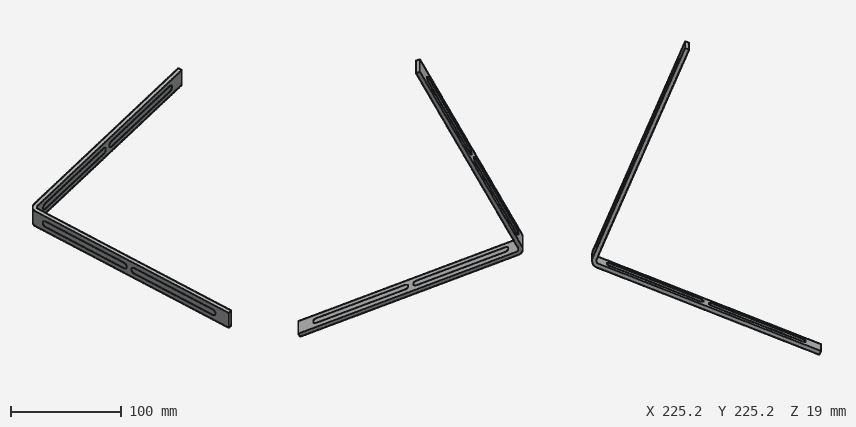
import cadquery as cq
import math

leg_length = 225.0
bar_width = 19.0
thickness = 4.0
outer_bend_radius = 7.0
inner_bend_radius = outer_bend_radius - thickness

pad_length = 95.0
pad_width = 7.0
pad_gap = 5.0
pad_count = 2
pad_height = 0.2

pad_pitch = pad_length + pad_gap
first_pad_center = (leg_length - (pad_count - 1) * pad_pitch) / 2
pad_centers = [(first_pad_center + i * pad_pitch, 0) for i in range(pad_count)]
pad_thickness = thickness + 2 * pad_height


def bent_bar():
    """L-shaped strip with concentric inner and outer bend radii."""
    bend_center = outer_bend_radius
    outer_mid = bend_center - outer_bend_radius * math.sqrt(0.5)
    inner_mid = bend_center - inner_bend_radius * math.sqrt(0.5)
    return (
        cq.Workplane("XY")
        .moveTo(leg_length, 0)
        .lineTo(leg_length, thickness)
        .lineTo(bend_center, thickness)
        .threePointArc((inner_mid, inner_mid), (thickness, bend_center))
        .lineTo(thickness, leg_length)
        .lineTo(0, leg_length)
        .lineTo(0, bend_center)
        .threePointArc((outer_mid, outer_mid), (bend_center, 0))
        .close()
        .extrude(bar_width)
    )


def leg_pads(plane, origin, extrude_distance):
    """Pads of one leg, passing through the bar at mid width."""
    return (
        cq.Workplane(plane, origin=origin)
        .pushPoints(pad_centers)
        .slot2D(pad_length, pad_width)
        .extrude(extrude_distance)
    )


mid_width = bar_width / 2
x_leg_pads = leg_pads("XZ", (0, -pad_height, mid_width), -pad_thickness)
y_leg_pads = leg_pads("YZ", (-pad_height, 0, mid_width), pad_thickness)

result = bent_bar().union(x_leg_pads).union(y_leg_pads)